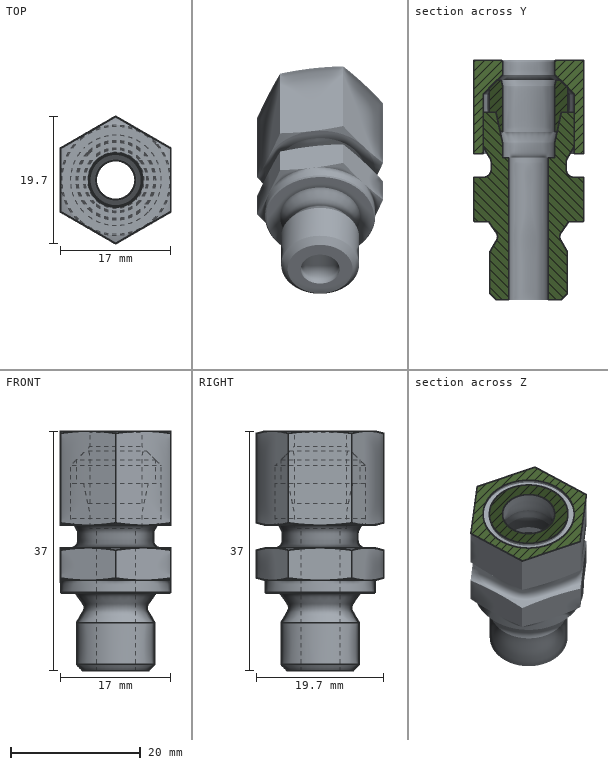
import cadquery as cq
import math

total_height = 37.0
across_flats = 17.02
hex_half_side_angle = 30.0
hex_corner_angle = 15.0
tube_bore_diameter = 8.0
thread_diameter = 14.0
relief_angle = 30.0

flat_radius = across_flats / 2
tube_radius = tube_bore_diameter / 2
thread_radius = thread_diameter / 2

stud_tip_chamfer = 1.0
stud_groove_bottom = 7.45
collar_bottom = 12.0
collar_height = 2.0
hex_height = 5.0
socket_height = 10.0
hex_bottom = collar_bottom + collar_height
hex_top = hex_bottom + hex_height
connector_top = hex_top + socket_height

stud_radius = 12.02 / 2
stud_groove_radius = 10.0 / 2
stud_groove_fillet = 1.1
collar_flank_angle = 35.0
flow_radius = 6.0 / 2
neck_radius = 11.7 / 2
neck_fillet = 1.07
relief_fillet = 1.0
relief_start = 21.3
collar_chamfer = 0.2
tube_stop_depth = 7.0
seat_mouth_radius = 10.0 / 2
seat_angle = 12.0

nut_height = 14.5
nut_mouth_chamfer = 0.2
nut_bore_depth = 2.3
nut_bottom = total_height - nut_height
nut_bore_bottom = total_height - nut_bore_depth
nut_cone_bottom = nut_bore_bottom - (thread_radius - tube_radius)

ferrule_top = 33.95
ferrule_bottom = 25.9
ferrule_radius = 6.1
ferrule_mouth_depth = 0.92


def revolve(profile):
    """Turn a closed half profile (radius, height) about the Z axis."""
    return profile.close().revolve(360, (0, 0, 0), (0, 1, 0))


def chamfered_hexagon(bottom, height):
    """Hexagonal prism with corners on the Y axis, chamfered by a cone at both ends."""
    corner_radius = flat_radius / math.cos(math.radians(hex_half_side_angle))
    cone_drop = (corner_radius - flat_radius) * math.tan(math.radians(hex_corner_angle))
    top = bottom + height
    prism = (
        cq.Workplane("XY")
        .workplane(offset=bottom)
        .polygon(6, 2 * corner_radius)
        .extrude(height)
        .rotate((0, 0, 0), (0, 0, 1), hex_half_side_angle)
    )
    envelope = revolve(
        cq.Workplane("XZ")
        .moveTo(0, bottom)
        .lineTo(flat_radius, bottom)
        .lineTo(corner_radius, bottom + cone_drop)
        .lineTo(corner_radius, top - cone_drop)
        .lineTo(flat_radius, top)
        .lineTo(0, top)
    )
    return prism.intersect(envelope)


def make_nut():
    """Union nut with a tube bore, a clamping cone and a threaded bore."""
    bore = revolve(
        cq.Workplane("XZ")
        .moveTo(0, nut_bottom)
        .lineTo(thread_radius, nut_bottom)
        .lineTo(thread_radius, nut_cone_bottom)
        .lineTo(tube_radius, nut_bore_bottom)
        .lineTo(tube_radius, total_height - nut_mouth_chamfer)
        .lineTo(tube_radius + nut_mouth_chamfer, total_height)
        .lineTo(0, total_height)
    )
    return chamfered_hexagon(nut_bottom, nut_height).cut(bore)


def make_stud():
    """Stud with a chamfered tip and a rounded groove under the sealing collar."""
    lower_angle = math.radians(relief_angle)
    upper_angle = math.radians(collar_flank_angle)
    floor_start = stud_groove_bottom + (stud_radius - stud_groove_radius) / math.tan(lower_angle)
    floor_middle = floor_start + stud_groove_fillet * math.sin(lower_angle)
    floor_radius = stud_groove_radius - stud_groove_fillet * (1 - math.cos(lower_angle))
    floor_end = floor_middle + stud_groove_fillet * math.sin(upper_angle)
    floor_end_radius = floor_radius + stud_groove_fillet * (1 - math.cos(upper_angle))
    flank_end_radius = floor_end_radius + (collar_bottom - floor_end) * math.tan(upper_angle)
    return revolve(
        cq.Workplane("XZ")
        .moveTo(0, 0)
        .lineTo(stud_radius - stud_tip_chamfer, 0)
        .lineTo(stud_radius, stud_tip_chamfer)
        .lineTo(stud_radius, stud_groove_bottom)
        .lineTo(stud_groove_radius, floor_start)
        .threePointArc((floor_radius, floor_middle), (floor_end_radius, floor_end))
        .lineTo(flank_end_radius, collar_bottom)
        .lineTo(0, collar_bottom)
    )


def make_collar():
    """Round sealing collar with a small chamfer on its lower edge."""
    return (
        cq.Workplane("XY")
        .workplane(offset=collar_bottom)
        .circle(flat_radius)
        .extrude(collar_height)
        .faces("<Z")
        .chamfer(collar_chamfer)
    )


def make_socket():
    """Neck filleted into the hexagon, widening through a conical relief to the threaded end."""
    angle = math.radians(relief_angle)
    arc_top = relief_start + relief_fillet * math.sin(angle)
    arc_top_radius = neck_radius + relief_fillet * (1 - math.cos(angle))
    arc_middle = relief_start + relief_fillet * math.sin(angle / 2)
    arc_middle_radius = neck_radius + relief_fillet * (1 - math.cos(angle / 2))
    relief_end = arc_top + (thread_radius - arc_top_radius) / math.tan(angle)
    return revolve(
        cq.Workplane("XZ")
        .moveTo(0, hex_top)
        .lineTo(neck_radius + neck_fillet, hex_top)
        .radiusArc((neck_radius, hex_top + neck_fillet), neck_fillet)
        .lineTo(neck_radius, relief_start)
        .threePointArc((arc_middle_radius, arc_middle), (arc_top_radius, arc_top))
        .lineTo(thread_radius, relief_end)
        .lineTo(thread_radius, connector_top)
        .lineTo(0, connector_top)
    )


def make_connector():
    """Connector body: stud, collar, hexagon and socket with a stepped through bore."""
    seat_depth = (seat_mouth_radius - tube_radius) / math.tan(math.radians(seat_angle))
    tube_stop = connector_top - tube_stop_depth
    bore = revolve(
        cq.Workplane("XZ")
        .moveTo(0, 0)
        .lineTo(flow_radius, 0)
        .lineTo(flow_radius, tube_stop)
        .lineTo(tube_radius, tube_stop)
        .lineTo(tube_radius, connector_top - seat_depth)
        .lineTo(seat_mouth_radius, connector_top)
        .lineTo(0, connector_top)
    )
    body = make_stud().union(make_collar()).union(chamfered_hexagon(hex_bottom, hex_height))
    return body.union(make_socket()).cut(bore)


def make_ferrule():
    """Ring clamped between the nut cone and the conical seat of the connector."""
    taper = math.tan(math.radians(seat_angle))
    tail_radius = seat_mouth_radius - (connector_top - ferrule_bottom) * taper
    mouth_radius = tube_radius + ferrule_mouth_depth * taper
    top_radius = tube_radius + nut_bore_bottom - ferrule_top
    shoulder_top = nut_bore_bottom - (ferrule_radius - tube_radius)
    return revolve(
        cq.Workplane("XZ")
        .moveTo(tube_radius, ferrule_bottom)
        .lineTo(tail_radius, ferrule_bottom)
        .lineTo(seat_mouth_radius, connector_top)
        .lineTo(ferrule_radius, connector_top)
        .lineTo(ferrule_radius, shoulder_top)
        .lineTo(top_radius, ferrule_top)
        .lineTo(mouth_radius, ferrule_top)
        .lineTo(tube_radius, ferrule_top - ferrule_mouth_depth)
    )


nut = make_nut()
connector = make_connector()
ferrule = make_ferrule()

result = cq.Compound.makeCompound([nut.solids().val(), connector.solids().val(), ferrule.solids().val()])